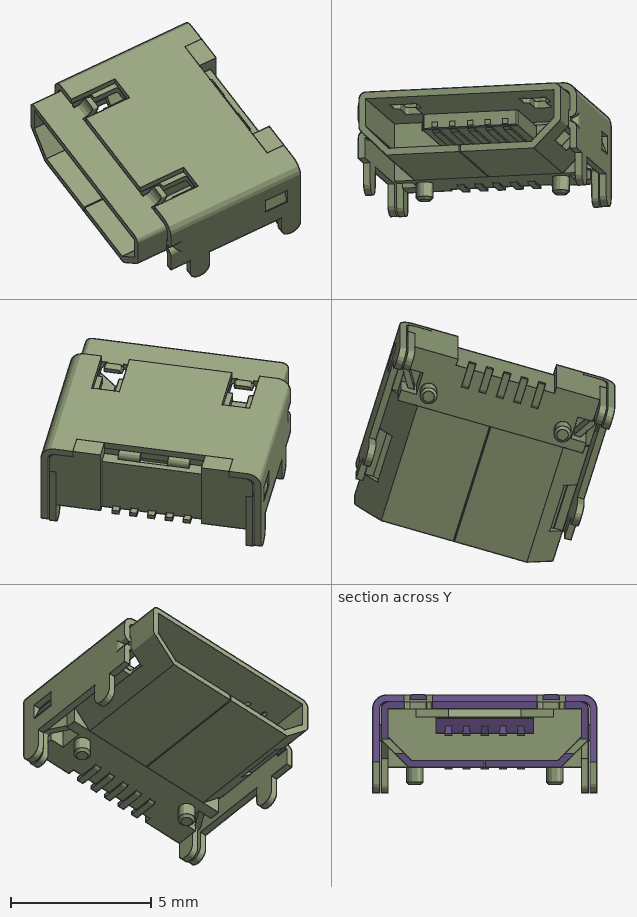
import cadquery as cq
import math


WIDTH = 8.0
LENGTH = 6.6
SHEET = 0.25
CLEARANCE = 0.06
COVER_TOP = 2.58
LEG_BOTTOM = -0.91

COVER_HALF = WIDTH / 2
COVER_INNER_HALF = COVER_HALF - SHEET
COVER_FRONT = 1.19
COVER_SIDE_BOTTOM = 0.18
COVER_CORNER = 0.5
COVER_LEG_WIDTH = 0.79
COVER_LEG_RADIUS = 0.39
COVER_LEG_STARTS = (2.01, LENGTH - COVER_LEG_WIDTH)
NOTCH_HALF = 2.84
NOTCH_FRONT = 5.9
WINDOW_Y = (5.14, 6.04)
WINDOW_Z = (0.94, 1.59)

SPRING_X = 2.37
SPRING_OPENING_WIDTH = 1.01
SPRING_OPENING_END = 3.01
SPRING_WIDTH = 0.59
SPRING_TOP_RADIUS = 0.43
SPRING_ANGLE = 74.0
SPRING_FILLET = 0.1
SLOT_WIDE_WIDTH = 0.98
SLOT_STEP = 2.02
SLOT_END = 2.99
SLOT_FILLET = 0.08

DIMPLE_Z = 1.26
BUMP_HEIGHT = 0.66
BUMP_LENGTH = 0.47
DIMPLE_FLOOR_HEIGHT = 0.14
DIMPLE_FLOOR_LENGTH = 0.21
DIMPLE_DEPTH = 0.22
DIMPLE_RIM_FILLET = 0.25

SHELL_HALF = COVER_INNER_HALF - CLEARANCE
SHELL_INNER_HALF = SHELL_HALF - SHEET
SHELL_TOP = COVER_TOP - SHEET
SHELL_INNER_TOP = SHELL_TOP - SHEET
SHELL_KINK = 0.98
KINK_ANGLE = 45.0
SHELL_CORNER = 0.26
TUBE_END = 4.5
WALL_BOTTOM = 1.04
SEAM = 0.04
SIDE_SLOT_X = 2.86
SIDE_SLOT_Z = (0.5, 1.01)
LEG_PLATE_FRONT = 5.74
LEG_PLATE_BOTTOM = 0.31
LEG_PLATE_TOP = 1.53
SHELL_LEG_RADIUS = 0.3
SHELL_LEG_FILLET = 0.06
TAB_TOP = 1.01
TAB_TIP_Y = 4.96
TAB_INSET = 0.48
LATCH_OUT = 0.27
FLAP_X = (0.5, 1.29)
FLAP_END = 6.14
FLAP_ROLL = 0.22

REAR_FACE = 6.36
BLOCK_INNER = 1.83
RECESS_HALF = 2.45
RECESS_BOTTOM = 1.8
RAMP_HALF = FLAP_X[1]
RAMP_RUN = SHELL_INNER_TOP - RECESS_BOTTOM
RAMP_END = NOTCH_FRONT - SHEET
RECESS_END = RAMP_END - RAMP_RUN
GROOVE_ROUNDING = 0.1
TONGUE_HALF = 1.74
TONGUE_Z = (1.21, 1.76)
TONGUE_FRONT = 1.6
TONGUE_SIDE_CHAMFER = 0.06
TONGUE_LOWER_CHAMFER = 0.04
POCKET_X = 2.88
POCKET_Y = (4.9, LEG_PLATE_FRONT)
PEG_X = 2.5
PEG_Y = 5.14
PEG_DIAMETER = 0.6
PEG_BOTTOM = -0.62
PEG_CHAMFER = 0.1

CONTACT_COUNT = 5
CONTACT_PITCH = 0.65
CONTACT_WIDTH = 0.26
CONTACT_THICKNESS = 0.15
CONTACT_BOTTOM = -0.06
CONTACT_BEND_Y = 5.58
CONTACT_BEND_RADIUS = 0.2
BEAM_BOTTOM = 1.14
TIP_WIDTH = 0.2
TIP_HEIGHT = 0.18
TIP_LENGTH = 0.16


def block(x, y, z):
    """Box given by its (low, high) limits along each axis."""
    return cq.Workplane("XY").box(x[1] - x[0], y[1] - y[0], z[1] - z[0], centered=False).translate(
        (x[0], y[0], z[0])
    )


def centred_block(half_width, y, z):
    return block((-half_width, half_width), y, z)


def both_sides(shape):
    """The shape together with its mirror image across X = 0."""
    return shape.union(shape.mirror("YZ"))


def section(points, y_start, y_end):
    """XZ outline extruded from y_start to y_end."""
    return cq.Workplane("XZ", origin=(0, y_start, 0)).polyline(points).close().extrude(y_start - y_end)


def round_leg(x, y, z_top, radius):
    """Solder leg on the +X side with rounded lower corners."""
    leg = block(x, y, (LEG_BOTTOM, z_top))
    return leg.faces("<Z").edges("|X").fillet(radius)



def dimple_block(length, height, x):
    """Block at the place of the +X dimple, starting at the front edge of the cover."""
    return block(
        x,
        (COVER_FRONT, COVER_FRONT + length),
        (DIMPLE_Z - height / 2, DIMPLE_Z + height / 2),
    )


def add_dimples(cover):
    """Bump on the inside of each cover side and the pocket with a rolled rim behind it."""
    bump = dimple_block(BUMP_LENGTH, BUMP_HEIGHT, (SHELL_HALF, COVER_INNER_HALF))
    well = dimple_block(DIMPLE_FLOOR_LENGTH, DIMPLE_FLOOR_HEIGHT, (SHELL_HALF, COVER_HALF))
    cover = cover.union(both_sides(bump)).cut(both_sides(well))

    rim = cq.selectors.BoxSelector(
        (-WIDTH, COVER_FRONT + DIMPLE_FLOOR_HEIGHT / 2, DIMPLE_Z - DIMPLE_FLOOR_HEIGHT),
        (WIDTH, COVER_FRONT + BUMP_LENGTH, DIMPLE_Z + DIMPLE_FLOOR_HEIGHT),
    )
    cover = cover.faces("<X or >X").edges(rim).fillet(DIMPLE_RIM_FILLET)
    floor = dimple_block(DIMPLE_FLOOR_LENGTH, DIMPLE_FLOOR_HEIGHT, (SHELL_HALF, COVER_HALF - DIMPLE_DEPTH))
    return cover.union(both_sides(floor))


def make_cover():
    span = (COVER_FRONT, LENGTH)
    cover = centred_block(COVER_HALF, span, (COVER_SIDE_BOTTOM, COVER_TOP))
    cover = cover.edges("|Y and >Z").fillet(COVER_CORNER)
    inside = centred_block(COVER_INNER_HALF, span, (COVER_SIDE_BOTTOM, SHELL_TOP))
    cover = cover.cut(inside.edges("|Y and >Z").fillet(COVER_CORNER - SHEET))

    side = (COVER_INNER_HALF, COVER_HALF)
    for start in COVER_LEG_STARTS:
        leg = round_leg(side, (start, start + COVER_LEG_WIDTH), COVER_SIDE_BOTTOM, COVER_LEG_RADIUS)
        cover = cover.union(both_sides(leg))

    cover = cover.cut(centred_block(NOTCH_HALF, (NOTCH_FRONT, LENGTH), (SHELL_TOP, COVER_TOP)))
    cover = cover.cut(both_sides(block(side, WINDOW_Y, WINDOW_Z)))

    half_opening = SPRING_OPENING_WIDTH / 2
    opening = block(
        (SPRING_X - half_opening, SPRING_X + half_opening),
        (COVER_FRONT, SPRING_OPENING_END),
        (SHELL_TOP, COVER_TOP),
    )
    cover = cover.cut(both_sides(opening))

    return add_dimples(cover)



def make_shell_tube():
    """Closed front section with sloping lower sides and a seam in its floor."""
    floor_half = SHELL_HALF - SHELL_KINK / math.tan(math.radians(KINK_ANGLE))
    miter = SHEET * math.tan(math.radians(KINK_ANGLE / 2))
    outer = section(
        [
            (-floor_half, 0),
            (floor_half, 0),
            (SHELL_HALF, SHELL_KINK),
            (SHELL_HALF, SHELL_TOP),
            (-SHELL_HALF, SHELL_TOP),
            (-SHELL_HALF, SHELL_KINK),
        ],
        0,
        TUBE_END,
    )
    outer = outer.edges("|Y and (>X or <X)").fillet(SHELL_CORNER)
    inner_floor_half = floor_half - miter
    inner = section(
        [
            (-inner_floor_half, SHEET),
            (inner_floor_half, SHEET),
            (SHELL_INNER_HALF, SHELL_KINK + miter),
            (SHELL_INNER_HALF, SHELL_INNER_TOP),
            (-SHELL_INNER_HALF, SHELL_INNER_TOP),
            (-SHELL_INNER_HALF, SHELL_KINK + miter),
        ],
        0,
        TUBE_END,
    )
    return outer.cut(inner).cut(centred_block(SEAM / 2, (0, TUBE_END), (0, SHEET)))


def make_rear_walls():
    """Top and upper sides continuing behind the closed section."""
    span = (TUBE_END, NOTCH_FRONT)
    walls = centred_block(SHELL_HALF, span, (WALL_BOTTOM, SHELL_TOP))
    walls = walls.edges("|Y and >Z").fillet(SHELL_CORNER)
    return walls.cut(centred_block(SHELL_INNER_HALF, span, (WALL_BOTTOM, SHELL_INNER_TOP)))


def make_leg_plate():
    """Rear side plate with its solder leg and the tab bent inward from its front edge."""
    side = (SHELL_INNER_HALF, SHELL_HALF)
    plate = block(side, (LEG_PLATE_FRONT, LENGTH), (LEG_PLATE_BOTTOM, LEG_PLATE_TOP))
    plate = plate.union(round_leg(side, (NOTCH_FRONT, LENGTH), LEG_PLATE_BOTTOM, SHELL_LEG_RADIUS))
    inner_corner = cq.selectors.NearestToPointSelector(
        (SHELL_HALF - SHEET / 2, NOTCH_FRONT, LEG_PLATE_BOTTOM)
    )
    plate = plate.edges("|X").edges(inner_corner).fillet(SHELL_LEG_FILLET)
    tab = (
        cq.Workplane("XY", origin=(0, 0, LEG_PLATE_BOTTOM))
        .polyline(
            [
                (SHELL_HALF, LEG_PLATE_FRONT),
                (SHELL_INNER_HALF, LEG_PLATE_FRONT),
                (SHELL_INNER_HALF - TAB_INSET, TAB_TIP_Y),
                (SHELL_HALF - TAB_INSET, TAB_TIP_Y),
            ]
        )
        .close()
        .extrude(TAB_TOP - LEG_PLATE_BOTTOM)
    )
    return plate.union(tab)


def make_latch_ramp():
    """Ramp that catches the lower edge of the cover window."""
    return section(
        [
            (SHELL_HALF, LEG_PLATE_TOP),
            (SHELL_HALF, WINDOW_Z[0]),
            (SHELL_HALF + LATCH_OUT, WINDOW_Z[0]),
            (COVER_INNER_HALF, LEG_PLATE_TOP),
        ],
        *WINDOW_Y,
    )


def make_spring_slot():
    """Stepped slot through the shell top that frees a spring."""
    sheet = (SHELL_INNER_TOP, SHELL_TOP)
    half_wide = SLOT_WIDE_WIDTH / 2
    half_narrow = SPRING_WIDTH / 2
    wide = block((SPRING_X - half_wide, SPRING_X + half_wide), (COVER_FRONT, SLOT_STEP), sheet)
    narrow = block((SPRING_X - half_narrow, SPRING_X + half_narrow), (COVER_FRONT, SLOT_END), sheet)
    return wide.union(narrow).edges("|Z").fillet(SLOT_FILLET)


def make_spring():
    """Strip curling up from the front of its slot."""
    centre_z = SHELL_TOP + SPRING_TOP_RADIUS
    outer_radius = SPRING_TOP_RADIUS + SHEET

    def on_arc(radius, degrees):
        angle = math.radians(degrees)
        return (COVER_FRONT + radius * math.sin(angle), centre_z - radius * math.cos(angle))

    strip = (
        cq.Workplane("YZ", origin=(SPRING_X - SPRING_WIDTH / 2, 0, 0))
        .moveTo(COVER_FRONT, SHELL_TOP)
        .threePointArc(on_arc(SPRING_TOP_RADIUS, SPRING_ANGLE / 2), on_arc(SPRING_TOP_RADIUS, SPRING_ANGLE))
        .lineTo(*on_arc(outer_radius, SPRING_ANGLE))
        .threePointArc(on_arc(outer_radius, SPRING_ANGLE / 2), on_arc(outer_radius, 0))
        .close()
        .extrude(SPRING_WIDTH)
    )
    tip_corners = cq.selectors.BoxSelector(
        (SPRING_X - SPRING_WIDTH, COVER_FRONT + SPRING_TOP_RADIUS / 2, SHELL_TOP + SHEET / 2),
        (SPRING_X + SPRING_WIDTH, COVER_FRONT + 2 * outer_radius, COVER_TOP + SHEET),
    )
    return strip.edges("not |X").edges("%LINE").edges(tip_corners).fillet(SPRING_FILLET)


def make_shell():
    shell = make_shell_tube().union(make_rear_walls())
    shell = shell.union(both_sides(make_leg_plate())).union(both_sides(make_latch_ramp()))

    flap = block(FLAP_X, (NOTCH_FRONT, FLAP_END), (SHELL_INNER_TOP, SHELL_TOP))
    shell = shell.union(both_sides(flap.faces(">Y").edges(">Z").fillet(FLAP_ROLL)))

    side_slot = block((SIDE_SLOT_X, SHELL_HALF), (COVER_FRONT, SLOT_END), SIDE_SLOT_Z)
    shell = shell.cut(both_sides(side_slot)).cut(both_sides(make_spring_slot()))
    return shell.union(both_sides(make_spring()))



def contact_x(index):
    return (index - (CONTACT_COUNT - 1) / 2) * CONTACT_PITCH


def make_contact(x):
    """Beam along the tongue with a narrow raised tip, stepping down to a flat solder tail."""
    beam_front = TONGUE_FRONT + TIP_LENGTH
    beam_top = BEAM_BOTTOM + CONTACT_THICKNESS
    limb_back = CONTACT_BEND_Y + CONTACT_THICKNESS
    body = (
        cq.Workplane("YZ", origin=(x - CONTACT_WIDTH / 2, 0, 0))
        .moveTo(beam_front, beam_top)
        .lineTo(beam_front, TONGUE_Z[0])
        .lineTo(beam_front + CONTACT_THICKNESS, BEAM_BOTTOM)
        .lineTo(CONTACT_BEND_Y, BEAM_BOTTOM)
        .lineTo(CONTACT_BEND_Y, CONTACT_BOTTOM + CONTACT_BEND_RADIUS)
        .radiusArc((CONTACT_BEND_Y + CONTACT_BEND_RADIUS, CONTACT_BOTTOM), -CONTACT_BEND_RADIUS)
        .lineTo(LENGTH, CONTACT_BOTTOM)
        .lineTo(LENGTH, CONTACT_BOTTOM + CONTACT_THICKNESS)
        .lineTo(limb_back, CONTACT_BOTTOM + CONTACT_THICKNESS)
        .lineTo(limb_back, beam_top)
        .close()
        .extrude(CONTACT_WIDTH)
    )
    tip = block(
        (x - TIP_WIDTH / 2, x + TIP_WIDTH / 2),
        (TONGUE_FRONT, beam_front + TIP_LENGTH),
        (beam_top, beam_top + TIP_HEIGHT),
    )
    return body.union(tip)



def make_tongue():
    tongue = centred_block(TONGUE_HALF, (TONGUE_FRONT, TUBE_END), TONGUE_Z)
    tongue = tongue.faces("<Y").edges("|Z").chamfer(TONGUE_SIDE_CHAMFER)
    return tongue.faces("<Y").edges("<Z").chamfer(TONGUE_LOWER_CHAMFER)


def make_front_recess():
    """Shallow recess above the tongue, with a 45 degree ramp to the top at its middle."""
    recess = centred_block(RECESS_HALF, (TUBE_END, RECESS_END), (RECESS_BOTTOM, SHELL_INNER_TOP))
    ramp = (
        cq.Workplane("YZ", origin=(-RAMP_HALF, 0, 0))
        .polyline(
            [
                (RECESS_END, RECESS_BOTTOM),
                (RAMP_END, SHELL_INNER_TOP),
                (RECESS_END, SHELL_INNER_TOP),
            ]
        )
        .close()
        .extrude(2 * RAMP_HALF)
    )
    return recess.union(ramp)


def make_rear_groove():
    """Shallow groove between the shell flaps, with rounded lower corners."""
    rim = FLAP_X[0]
    floor_half = rim - GROOVE_ROUNDING
    floor_z = SHELL_INNER_TOP - GROOVE_ROUNDING
    return (
        cq.Workplane("XZ", origin=(0, NOTCH_FRONT, 0))
        .moveTo(-rim, SHELL_INNER_TOP)
        .radiusArc((-floor_half, floor_z), -GROOVE_ROUNDING)
        .lineTo(floor_half, floor_z)
        .radiusArc((rim, SHELL_INNER_TOP), -GROOVE_ROUNDING)
        .close()
        .extrude(NOTCH_FRONT - FLAP_END)
    )


def make_peg():
    return (
        cq.Workplane("XY", origin=(PEG_X, PEG_Y, 0))
        .circle(PEG_DIAMETER / 2)
        .extrude(PEG_BOTTOM)
        .faces("<Z")
        .chamfer(PEG_CHAMFER)
    )


def make_housing(contacts):
    rear = (NOTCH_FRONT, LENGTH)
    housing = centred_block(SHELL_INNER_HALF, (TUBE_END, LENGTH), (0, SHELL_INNER_TOP))
    ears = centred_block(SHELL_HALF, rear, (LEG_PLATE_TOP, SHELL_TOP))
    housing = housing.union(ears.edges("|Y and >Z").fillet(SHELL_CORNER))
    housing = housing.union(centred_block(NOTCH_HALF, rear, (SHELL_INNER_TOP, COVER_TOP)))
    housing = housing.cut(centred_block(BLOCK_INNER, rear, (SHELL_INNER_TOP, COVER_TOP)))
    housing = housing.cut(centred_block(BLOCK_INNER, (REAR_FACE, LENGTH), (0, SHELL_INNER_TOP)))
    housing = housing.union(make_tongue()).cut(make_front_recess()).cut(make_rear_groove())

    tab_pocket = block((POCKET_X, SHELL_INNER_HALF), POCKET_Y, (0, WALL_BOTTOM))
    housing = housing.cut(both_sides(tab_pocket)).union(both_sides(make_peg()))
    for contact in contacts:
        housing = housing.cut(contact)
    return housing



cover = make_cover()
shell = make_shell()
contacts = [make_contact(contact_x(i)) for i in range(CONTACT_COUNT)]
housing = make_housing(contacts)

result = cq.Compound.makeCompound(
    [body.solids().val() for body in (cover, shell, housing, *contacts)]
)